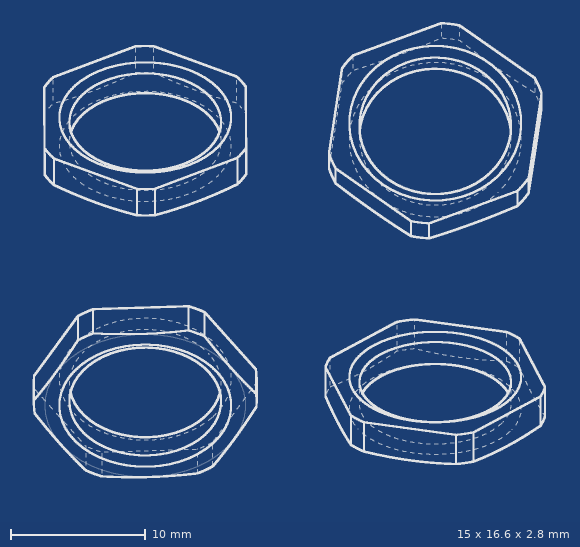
import cadquery as cq
import math

across_flats = 15.0
corner_diameter = 16.59
thickness = 2.8

bore_diameter = 11.28
countersink_diameter = 12.79
countersink_slope = 30.0
countersink_depth = (countersink_diameter - bore_diameter) / 2 * math.tan(math.radians(countersink_slope))

bottom_face_diameter = 14.93
corner_chamfer_height = 0.23


def make_hexagon():
    """Hexagonal prism with flats facing +X and -X."""
    sharp_corner_diameter = across_flats / math.cos(math.radians(30))
    prism = cq.Workplane("XY").polygon(6, sharp_corner_diameter).extrude(thickness)
    return prism.rotate((0, 0, 0), (0, 0, 1), 30)


def make_corner_envelope():
    """Turned outline that rounds the corners and chamfers them at the bottom."""
    return (
        cq.Workplane("XZ")
        .lineTo(bottom_face_diameter / 2, 0)
        .lineTo(corner_diameter / 2, corner_chamfer_height)
        .lineTo(corner_diameter / 2, thickness)
        .lineTo(0, thickness)
        .close()
        .revolve(360, (0, 0), (0, 1))
    )


def make_bore():
    """Turned cutter for the through bore and its two countersinks."""
    bore_radius = bore_diameter / 2
    countersink_radius = countersink_diameter / 2
    return (
        cq.Workplane("XZ")
        .lineTo(countersink_radius, 0)
        .lineTo(bore_radius, countersink_depth)
        .lineTo(bore_radius, thickness - countersink_depth)
        .lineTo(countersink_radius, thickness)
        .lineTo(0, thickness)
        .close()
        .revolve(360, (0, 0), (0, 1))
    )


result = make_hexagon().intersect(make_corner_envelope()).cut(make_bore())